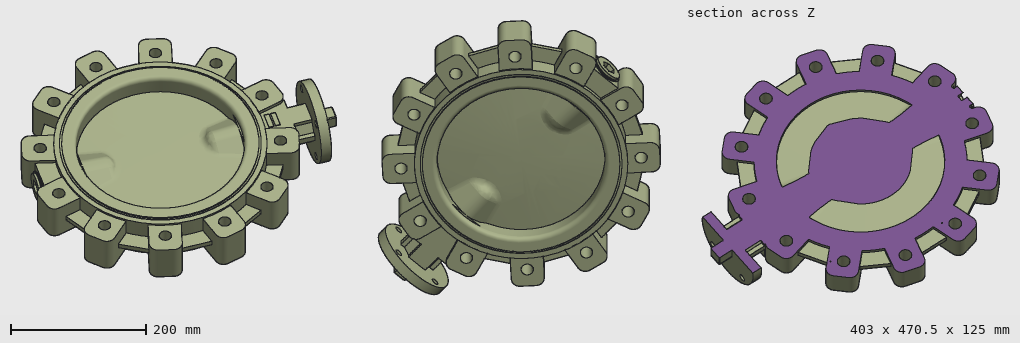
import cadquery as cq
import math

BODY_RADIUS = 157.5
RIM_HALF_HEIGHT = 33.5
LINER_HALF_HEIGHT = 34.7
LINER_OUTER_RADIUS = 145.8
GROOVE_OUTER_RADIUS = 149.0
GROOVE_DEPTH = 1.0
BORE_RADIUS = 124.0
BORE_LIP_RADIUS = 7.0
SEAT_FLAT_Y = 121.0
SEAT_HALF_HEIGHT = 24.6
SEAT_WIDTH = 2 * math.sqrt(BORE_RADIUS ** 2 - SEAT_FLAT_Y ** 2)
ROOT_RADIUS = (BORE_RADIUS + BODY_RADIUS) / 2

LUG_COUNT = 12
LUG_PITCH = 360.0 / LUG_COUNT
LUG_WIDTH = 49.0
LUG_TIP_RADIUS = 205.07
LUG_CORNER_RADIUS = 13.0
LUG_HALF_HEIGHT = 30.5
BOLT_CIRCLE_RADIUS = 177.5
BOLT_HOLE_DIAMETER = 18.0
RIB_APOTHEM = 180.6
RIB_THICKNESS = 8.0

NECK_HALF_HEIGHT = 25.0
NECK_HALF_WIDTH = 16.5
NECK_SIDE_HEIGHT = 19.0
SHOULDER_HALF_WIDTH = 25.0
WING_HALF_WIDTH = 32.0
WING_HALF_HEIGHT = 5.0
NECK_BLOCK_TOP = 201.5
FLANGE_DIAMETER = 125.0
FLANGE_BOTTOM = 229.5
FLANGE_THICKNESS = 16.0
FLANGE_BOLT_CIRCLE = 102.0
FLANGE_HOLE_DIAMETER = 11.0
FLANGE_HOLE_COUNT = 4
FLANGE_HOLE_START_ANGLE = 45.0
DRIVE_SIDE = 22.0
DRIVE_TOP = 268.98
DRIVE_EDGE_CHAMFER = 1.5
DRIVE_END_CHAMFER = 1.0
LABEL_WIDTH = 24.8
LABEL_DEPTH = 7.6
LABEL_HEIGHT = 1.0
LABEL_CENTERS_Y = (168.0, 178.0)

BLOCK_SIDE = 50.0
BLOCK_END = 186.3
PLUG_RADIUS = 21.3
PLUG_LENGTH = 7.0
COLLAR_RADIUS = 23.8
COLLAR_THICKNESS = 1.0
COLLAR_GAP = 2.2
HEX_SIDES = 6
HEX_ACROSS_FLATS = 19.5
HEX_DEPTH = 10.0

DISC_EDGE_HALF_THICKNESS = 5.0
DISC_CENTER_HALF_THICKNESS = 11.0
DOME_RISE = DISC_CENTER_HALF_THICKNESS - DISC_EDGE_HALF_THICKNESS
DOME_RADIUS = (BORE_RADIUS ** 2 + DOME_RISE ** 2) / (2 * DOME_RISE)
DISC_BLANK_RADIUS = BORE_RADIUS + 10.0
DOME_TOLERANCE = 0.3
HUB_INNER_Y = 70.8
HUB_OUTER_Y = DISC_BLANK_RADIUS
HUB_FLANK_ANGLE = 31.0
HUB_INNER_RIDGE = (10.6, 18.2)
HUB_OUTER_RIDGE = (12.5, 22.1)
HUB_END_ROUND = 13.0
HUB_BASE_FILLET = 12.5


def ring_profile():
    """Half section of body and liner in the radius-height plane, spun about Z."""
    lip_edge = BORE_RADIUS + BORE_LIP_RADIUS
    lip_start = LINER_HALF_HEIGHT - BORE_LIP_RADIUS
    arc_inset = BORE_LIP_RADIUS * (1 - math.sqrt(0.5))
    return (
        cq.Workplane("XZ")
        .moveTo(BORE_RADIUS, 0)
        .lineTo(BORE_RADIUS, lip_start)
        .threePointArc(
            (BORE_RADIUS + arc_inset, LINER_HALF_HEIGHT - arc_inset),
            (lip_edge, LINER_HALF_HEIGHT),
        )
        .lineTo(LINER_OUTER_RADIUS, LINER_HALF_HEIGHT)
        .lineTo(LINER_OUTER_RADIUS, RIM_HALF_HEIGHT - GROOVE_DEPTH)
        .lineTo(GROOVE_OUTER_RADIUS, RIM_HALF_HEIGHT - GROOVE_DEPTH)
        .lineTo(GROOVE_OUTER_RADIUS, RIM_HALF_HEIGHT)
        .lineTo(BODY_RADIUS, RIM_HALF_HEIGHT)
        .lineTo(BODY_RADIUS, 0)
        .close()
    )


def mirrored_in_z(solid):
    return solid.union(solid.mirror("XY"))


def make_ring():
    return mirrored_in_z(ring_profile().revolve(360, (0, 0, 0), (0, 1, 0)))


def make_core(radius):
    """Solid cylinder on the bore axis, as tall as the liner."""
    return cq.Workplane("XY").circle(radius).extrude(LINER_HALF_HEIGHT, both=True)


def make_lug(angle):
    length = LUG_TIP_RADIUS - ROOT_RADIUS
    lug = (
        cq.Workplane("XY")
        .center((ROOT_RADIUS + LUG_TIP_RADIUS) / 2, 0)
        .rect(length, LUG_WIDTH)
        .extrude(LUG_HALF_HEIGHT, both=True)
        .edges("|Z and >X")
        .fillet(LUG_CORNER_RADIUS)
    )
    return lug.rotate((0, 0, 0), (0, 0, 1), angle)


def make_rib():
    corner_diameter = 2 * RIB_APOTHEM / math.cos(math.pi / LUG_COUNT)
    plate = (
        cq.Workplane("XY")
        .polygon(LUG_COUNT, corner_diameter)
        .extrude(RIB_THICKNESS / 2, both=True)
        .rotate((0, 0, 0), (0, 0, 1), LUG_PITCH / 2)
    )
    return plate.cut(make_core(ROOT_RADIUS))


def shaft_plane(y):
    """Workplane across the shaft axis: local x is -X, local y is Z, normal is +Y."""
    return cq.Workplane(cq.Plane((0, y, 0), xDir=(-1, 0, 0), normal=(0, 1, 0)))


def make_neck():
    """Column with sloping shoulders and thin side wings, standing on a block between two lugs."""
    quarter = [
        (NECK_HALF_WIDTH, NECK_HALF_HEIGHT),
        (NECK_HALF_WIDTH, NECK_SIDE_HEIGHT),
        (SHOULDER_HALF_WIDTH, WING_HALF_HEIGHT),
        (WING_HALF_WIDTH, WING_HALF_HEIGHT),
    ]
    right_side = quarter + [(x, -z) for x, z in reversed(quarter)]
    left_side = [(-x, -z) for x, z in right_side]
    column = (
        shaft_plane(ROOT_RADIUS)
        .polyline(right_side + left_side)
        .close()
        .extrude(FLANGE_BOTTOM - ROOT_RADIUS)
    )
    block = (
        shaft_plane(ROOT_RADIUS)
        .rect(2 * WING_HALF_WIDTH, 2 * NECK_HALF_HEIGHT)
        .extrude(NECK_BLOCK_TOP - ROOT_RADIUS)
    )
    labels = (
        cq.Workplane("XY", origin=(0, 0, NECK_HALF_HEIGHT))
        .pushPoints([(0, y) for y in LABEL_CENTERS_Y])
        .rect(LABEL_WIDTH, LABEL_DEPTH)
        .extrude(LABEL_HEIGHT)
    )
    return column.union(block).union(labels)


def make_flange_and_drive():
    flange = (
        shaft_plane(FLANGE_BOTTOM)
        .circle(FLANGE_DIAMETER / 2)
        .extrude(FLANGE_THICKNESS)
        .faces(">Y")
        .workplane()
        .polarArray(FLANGE_BOLT_CIRCLE / 2, FLANGE_HOLE_START_ANGLE, 360, FLANGE_HOLE_COUNT)
        .hole(FLANGE_HOLE_DIAMETER)
    )
    flange_top = FLANGE_BOTTOM + FLANGE_THICKNESS
    drive = (
        shaft_plane(flange_top)
        .rect(DRIVE_SIDE, DRIVE_SIDE)
        .extrude(DRIVE_TOP - flange_top)
        .edges("|Y")
        .chamfer(DRIVE_EDGE_CHAMFER)
        .faces(">Y")
        .chamfer(DRIVE_END_CHAMFER)
    )
    return flange.union(drive)


def make_lower_block():
    return (
        shaft_plane(-BLOCK_END)
        .rect(BLOCK_SIDE, BLOCK_SIDE)
        .extrude(BLOCK_END - ROOT_RADIUS)
    )


def make_plug():
    """Round plug with a thin collar held just clear of the block."""
    plug = shaft_plane(-BLOCK_END - PLUG_LENGTH).circle(PLUG_RADIUS).extrude(PLUG_LENGTH)
    collar = (
        shaft_plane(-BLOCK_END - COLLAR_GAP - COLLAR_THICKNESS)
        .circle(COLLAR_RADIUS)
        .extrude(COLLAR_THICKNESS)
    )
    return plug.union(collar)


def make_plug_hexagon():
    """Hexagon socket with two of its corners pointing along Z."""
    return (
        shaft_plane(-BLOCK_END - PLUG_LENGTH)
        .transformed(rotate=(0, 0, 90))
        .polygon(HEX_SIDES, HEX_ACROSS_FLATS / math.cos(math.pi / HEX_SIDES))
        .extrude(HEX_DEPTH)
    )


def dome_height(radius):
    drop = DOME_RADIUS - math.sqrt(DOME_RADIUS ** 2 - radius ** 2)
    return DISC_CENTER_HALF_THICKNESS - drop


def lies_on_dome(edge):
    middle = edge.positionAt(0.5)
    radius = math.hypot(middle.x, middle.y)
    inside_rim = radius < DISC_BLANK_RADIUS - DOME_TOLERANCE
    return inside_rim and abs(middle.z - dome_height(radius)) < DOME_TOLERANCE


def make_dome():
    """Upper half of the lens-shaped disc, oversized so that the bore can trim it."""
    half_radius = DISC_BLANK_RADIUS / 2
    return (
        cq.Workplane("XZ")
        .lineTo(DISC_BLANK_RADIUS, 0)
        .lineTo(DISC_BLANK_RADIUS, dome_height(DISC_BLANK_RADIUS))
        .threePointArc((half_radius, dome_height(half_radius)), (0, DISC_CENTER_HALF_THICKNESS))
        .close()
        .revolve(360, (0, 0, 0), (0, 1, 0))
    )


def hub_section(plane, ridge):
    """Rounded ridge with sloping flanks that run down to the middle of the disc."""
    half_ridge, ridge_z = ridge
    slope = math.radians(HUB_FLANK_ANGLE)
    base = half_ridge + ridge_z / math.tan(slope)
    crown = ridge_z + half_ridge * math.tan(slope / 2)
    return (
        plane.moveTo(-base, 0)
        .lineTo(-half_ridge, ridge_z)
        .threePointArc((0, crown), (half_ridge, ridge_z))
        .lineTo(base, 0)
        .close()
    )


def make_hub():
    inner = hub_section(shaft_plane(HUB_INNER_Y), HUB_INNER_RIDGE)
    outer = hub_section(inner.workplane(offset=HUB_OUTER_Y - HUB_INNER_Y), HUB_OUTER_RIDGE)
    hub = outer.loft(ruled=True)
    return hub.faces("<Y").edges("not <Z").fillet(HUB_END_ROUND)


def make_seat_flats():
    """Flat faces that fill the bore behind both hubs."""
    depth = ROOT_RADIUS - SEAT_FLAT_Y
    center_y = SEAT_FLAT_Y + depth / 2
    boxes = (
        cq.Workplane("XY")
        .pushPoints([(0, center_y), (0, -center_y)])
        .rect(SEAT_WIDTH, depth)
        .extrude(SEAT_HALF_HEIGHT, both=True)
    )
    return boxes.intersect(make_core(ROOT_RADIUS))


def make_disc():
    """Disc closed against the bore, with a hub at each end of the shaft on both faces."""
    hub = make_hub()
    half = make_dome().union(hub).union(hub.mirror("XZ"))
    base_edges = [edge for edge in half.edges().vals() if lies_on_dome(edge)]
    half = half.newObject(base_edges).fillet(HUB_BASE_FILLET)
    return mirrored_in_z(half.intersect(make_core(BORE_RADIUS)))


def make_bolt_holes():
    return (
        cq.Workplane("XY")
        .polarArray(BOLT_CIRCLE_RADIUS, LUG_PITCH / 2, 360, LUG_COUNT)
        .circle(BOLT_HOLE_DIAMETER / 2)
        .extrude(LINER_HALF_HEIGHT, both=True)
    )


result = make_ring().union(make_rib())
for index in range(LUG_COUNT):
    result = result.union(make_lug((index + 0.5) * LUG_PITCH))
result = result.union(make_neck()).union(make_flange_and_drive())
result = result.union(make_lower_block()).union(make_plug())
result = result.union(make_seat_flats()).union(make_disc())
result = result.cut(make_bolt_holes()).cut(make_plug_hexagon())